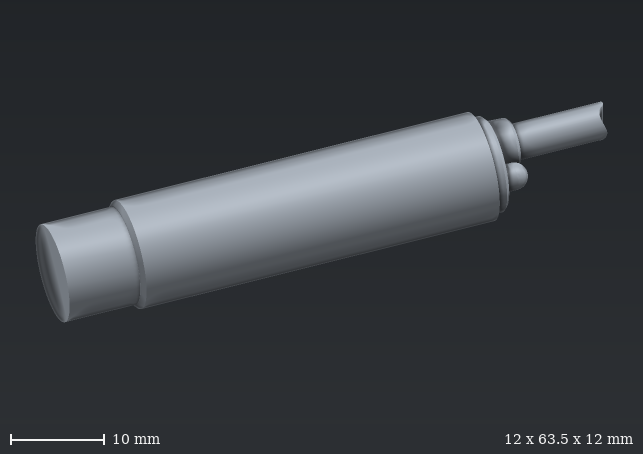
import cadquery as cq

total_length = 63.5
nose_end = 8.0
body_end = 48.6
collar_end = 50.05
grommet_end = 53.1

nose_diameter = 10.8
body_diameter = 12.0
body_chamfer = 0.5
collar_diameter = 10.6
collar_chamfer = 0.4

cable_x = -2.3
cable_diameter = 4.0
break_depth = 0.95
grommet_tip_diameter = 5.65
grommet_root_diameter = 6.0
grommet_chamfer = 0.4

lamp_x = 2.6
lamp_diameter = 3.0
lamp_end = 52.9


def cylinder(diameter, start, end, x=0):
    """Cylinder along Y between two stations."""
    plane = cq.Plane(origin=(x, start, 0), xDir=(1, 0, 0), normal=(0, 1, 0))
    return cq.Workplane(plane).circle(diameter / 2).extrude(end - start)


def make_housing():
    nose = cylinder(nose_diameter, 0, nose_end)
    body = cylinder(body_diameter, nose_end, body_end).faces("<Y").chamfer(body_chamfer)
    collar = cylinder(collar_diameter, body_end, collar_end).faces(">Y").chamfer(collar_chamfer)
    return nose.union(body).union(collar)


def make_grommet():
    """Cone with a chamfered tip, rooted just below the top face of the collar."""
    tip_radius = grommet_tip_diameter / 2
    root_radius = grommet_root_diameter / 2
    profile = (
        cq.Workplane("XY", origin=(cable_x, 0, 0))
        .moveTo(0, collar_end - collar_chamfer)
        .lineTo(root_radius, collar_end - collar_chamfer)
        .lineTo(tip_radius, grommet_end - grommet_chamfer)
        .lineTo(tip_radius - grommet_chamfer, grommet_end)
        .lineTo(0, grommet_end)
        .close()
    )
    return profile.revolve(360, (0, 0, 0), (0, 1, 0))


def make_cable():
    """Cable whose free end is an S-shaped break: a crest on -X, a hollow on +X."""
    radius = cable_diameter / 2
    break_mid = total_length - break_depth / 2
    outline = (
        cq.Workplane("XY", origin=(cable_x, 0, -radius))
        .moveTo(-radius, collar_end)
        .lineTo(-radius, break_mid)
        .threePointArc((-radius / 2, total_length), (0, break_mid))
        .threePointArc((radius / 2, total_length - break_depth), (radius, break_mid))
        .lineTo(radius, collar_end)
        .close()
        .extrude(cable_diameter)
    )
    return cylinder(cable_diameter, collar_end, total_length, cable_x).intersect(outline)


def make_lamp():
    dome_start = lamp_end - lamp_diameter / 2
    dome = cq.Workplane("XY", origin=(lamp_x, dome_start, 0)).sphere(lamp_diameter / 2)
    return cylinder(lamp_diameter, body_end, dome_start, lamp_x).union(dome)


result = make_housing().union(make_grommet()).union(make_cable()).union(make_lamp())
result = result.translate((0, -total_length / 2, 0))